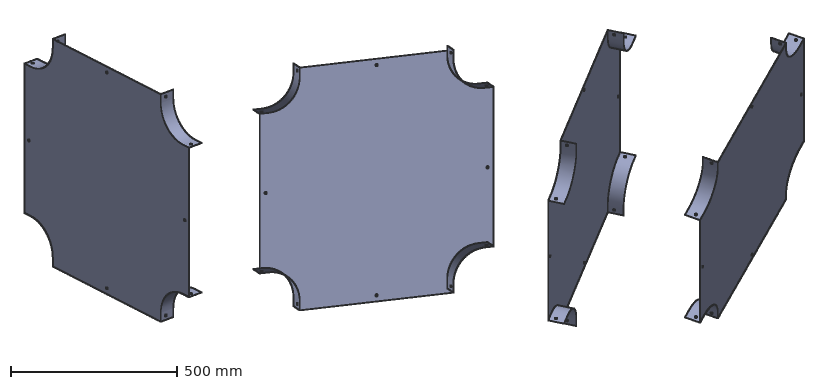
import cadquery as cq

panel_size = 760.0
depth = 50.0
sheet = 1.0

lip_length = 30.0
arc_radius = 100.0
corner_cut = lip_length + arc_radius

hole_diameter = 7.0
hole_edge_distance = 20.0
flange_hole_height = 20.5
cutter_length = 4 * sheet

half_size = panel_size / 2
front_y = -depth / 2
hole_center = half_size - hole_edge_distance
lip_hole_center = half_size - lip_length / 2
flange_hole_y = front_y + flange_hole_height
QUARTER_TURNS = (0, 90, 180, 270)


def corner_cutter(offset):
    """Full-depth cutter for the +X +Z corner, its walls moved inward by offset."""
    wall = half_size - corner_cut - offset
    arc_start = half_size - lip_length
    radius = arc_start - wall
    diagonal = arc_start - radius / 2 ** 0.5
    return (
        cq.Workplane("XZ", origin=(0, front_y, 0))
        .moveTo(half_size, half_size)
        .lineTo(wall, half_size)
        .lineTo(wall, arc_start)
        .threePointArc((diagonal, diagonal), (arc_start, wall))
        .lineTo(half_size, wall)
        .close()
        .extrude(-depth)
    )


def flange_holes():
    """Cutters for one hole through each lip of the +X +Z corner flange."""
    wall = half_size - corner_cut
    length = cutter_length
    start = wall - length / 2
    radius = hole_diameter / 2
    along_x = cq.Solid.makeCylinder(
        radius, length, cq.Vector(start, flange_hole_y, lip_hole_center), cq.Vector(1, 0, 0)
    )
    along_z = cq.Solid.makeCylinder(
        radius, length, cq.Vector(lip_hole_center, flange_hole_y, start), cq.Vector(0, 0, 1)
    )
    return cq.Workplane(along_x).add(along_z).combine()


def about_y(shape, angle):
    return shape.rotate((0, 0, 0), (0, 1, 0), angle)


panel = cq.Workplane("XZ", origin=(0, front_y, 0)).rect(panel_size, panel_size).extrude(-sheet)
edge_holes = (
    cq.Workplane("XZ", origin=(0, front_y, 0))
    .polarArray(hole_center, 0, 360, len(QUARTER_TURNS))
    .circle(hole_diameter / 2)
    .extrude(-sheet)
)
result = panel.cut(edge_holes)

cutout = corner_cutter(0)
flange = corner_cutter(sheet).cut(cutout).cut(flange_holes())
for angle in QUARTER_TURNS:
    result = result.cut(about_y(cutout, angle)).union(about_y(flange, angle))